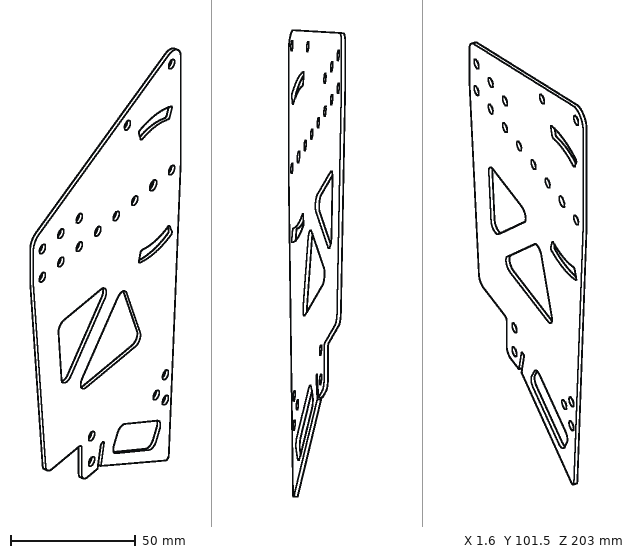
import cadquery as cq
import math

thickness = 1.6
width = 101.5
height = 203

hole_diameter = 4
pivot_diameter = 4.7
edge_margin = 6.3
hole_pitch = (width - 2 * edge_margin) / 7

main_row_v = 143.5
upper_row_v = 157.7
top_hole_v = height - edge_margin
shelf_v = 43.2
tab_bottom_v = 24.4

top_slope = math.tan(math.radians(22))
left_taper = 0.058
right_taper = 0.088
bottom_slope = 0.545
tip_sharp_v = -1.0
tip_radius = 1.6
tab_right_u = 68.2
shelf_radius = 4
tab_radius = 3.7
inner_radius = 1.6

slit_left_u = 55.0
slit_width = 2.2
slit_depth = 11.2
slit_lean = 0.21
slit_radius = 0.8

window_radius = 3.7
upper_window = [(46.5, 113.0), (84.5, 113.0), (81.5, 76.1)]
lower_window = [(26.2, 70.0), (39.4, 106.2), (73.7, 70.0)]
slot_center = (30.2, 24.0)
slot_length = 32.9
slot_width = 12.5
slot_angle = 28

pivot_u = edge_margin + hole_pitch
arc_inner_radius = 28.8
arc_outer_radius = 34.5
arc_left_angle = -22.5
arc_right_angle = 17
arc_corner_radius = 1.0

lower_hole_u = 10.5
tab_hole_u = lower_hole_u + 4 * hole_pitch

plate_plane = cq.Plane(
    origin=(thickness / 2, width / 2, -height / 2), xDir=(0, -1, 0), normal=(-1, 0, 0)
)


def sketch():
    return cq.Workplane(plate_plane)


def toward(start, end, distance):
    """Point at a distance from start on the way to end."""
    share = distance / math.dist(start, end)
    return tuple(s + share * (e - s) for s, e in zip(start, end))


def rounded_polygon(corners):
    """Plate shaped by (point, radius) corners; a zero radius leaves the corner sharp."""
    profile = None
    for i, (point, radius) in enumerate(corners):
        before = corners[i - 1][0]
        after = corners[(i + 1) % len(corners)][0]
        to_before = toward(point, before, 2)
        to_after = toward(point, after, 2)
        half_chord = math.dist(to_before, to_after) / 4
        half_angle = math.asin(half_chord)
        setback = radius / math.tan(half_angle)
        start = toward(point, before, setback)
        profile = sketch().moveTo(*start) if profile is None else profile.lineTo(*start)
        if radius > 0:
            bisector = tuple((a + b) / 2 for a, b in zip(to_before, to_after))
            arc_middle = toward(point, bisector, radius / math.sin(half_angle) - radius)
            end = toward(point, after, setback)
            profile = profile.threePointArc(arc_middle, end)
    return profile.close().extrude(thickness)


def plate_blank():
    top_angle = math.atan(top_slope)
    top_left_v = top_hole_v + edge_margin * (1 / math.cos(top_angle) + top_slope)
    top_right_v = top_left_v - width * top_slope
    tip_u = left_taper * (main_row_v - tip_sharp_v)
    shelf_end_u = width - right_taper * (main_row_v - shelf_v)
    tongue_end_v = tip_sharp_v + bottom_slope * (slit_left_u - tip_u)
    slit_top_v = tab_bottom_v + slit_depth
    slit_top_u = slit_left_u - slit_lean * slit_depth
    return rounded_polygon([
        ((0, top_left_v), edge_margin),
        ((width, top_right_v), edge_margin),
        ((width, main_row_v), 0),
        ((shelf_end_u, shelf_v), shelf_radius),
        ((tab_right_u, shelf_v), inner_radius),
        ((tab_right_u, tab_bottom_v), tab_radius),
        ((slit_left_u + slit_width, tab_bottom_v), 0),
        ((slit_top_u + slit_width, slit_top_v), slit_radius),
        ((slit_top_u, slit_top_v), slit_radius),
        ((slit_left_u, tongue_end_v), 0),
        ((tip_u, tip_sharp_v), tip_radius),
        ((0, main_row_v), 0),
    ])


def window(points):
    return rounded_polygon([(point, window_radius) for point in points])


def tilted_slot():
    angle = math.radians(slot_angle)
    points = []
    for along, across in [(-1, -1), (1, -1), (1, 1), (-1, 1)]:
        a = along * slot_length / 2
        b = across * slot_width / 2
        u = slot_center[0] + a * math.cos(angle) - b * math.sin(angle)
        v = slot_center[1] + a * math.sin(angle) + b * math.cos(angle)
        points.append((u, v))
    return window(points)


def arc_slot(side):
    """Arc slot above (side = 1) or below (side = -1) the pivot hole."""

    def at(radius, degrees):
        angle = math.radians(degrees)
        return (pivot_u + radius * math.sin(angle), main_row_v + side * radius * math.cos(angle))

    middle = (arc_left_angle + arc_right_angle) / 2
    return (
        sketch()
        .moveTo(*at(arc_inner_radius, arc_left_angle))
        .threePointArc(at(arc_inner_radius, middle), at(arc_inner_radius, arc_right_angle))
        .lineTo(*at(arc_outer_radius, arc_right_angle))
        .threePointArc(at(arc_outer_radius, middle), at(arc_outer_radius, arc_left_angle))
        .close()
        .extrude(thickness)
        .edges("|X")
        .fillet(arc_corner_radius)
    )


def holes(points, diameter):
    return sketch().pushPoints(points).circle(diameter / 2).extrude(thickness)


row_u = [edge_margin + i * hole_pitch for i in range(8)]
main_row = [(u, main_row_v) for u in row_u if u != pivot_u]
upper_row = [(u, upper_row_v) for u in row_u[-3:]]
second_hole_offset = 30.5
top_holes = [
    (edge_margin, top_hole_v),
    (edge_margin + second_hole_offset, top_hole_v - second_hole_offset * top_slope),
]
lower_holes = [(u, shelf_v - i * hole_pitch) for u in (lower_hole_u, tab_hole_u) for i in range(2)]
lower_holes.append((lower_hole_u + hole_pitch / 2, shelf_v - hole_pitch / 2))

result = (
    plate_blank()
    .cut(window(upper_window))
    .cut(window(lower_window))
    .cut(tilted_slot())
    .cut(arc_slot(1))
    .cut(arc_slot(-1))
    .cut(holes(main_row + upper_row + top_holes + lower_holes, hole_diameter))
    .cut(holes([(pivot_u, main_row_v)], pivot_diameter))
)